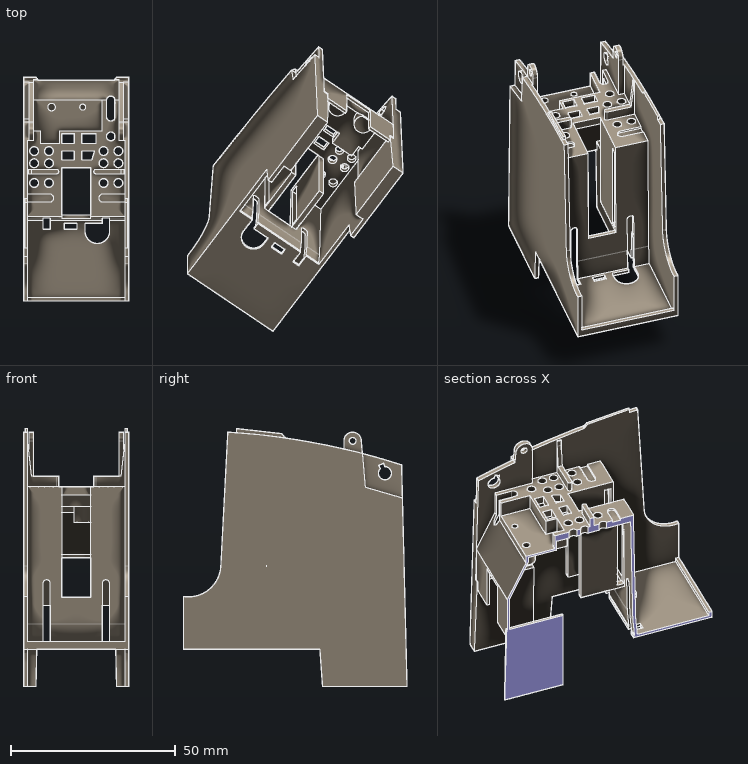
import cadquery as cq
import math

WIDTH = 32.0
DEPTH = 68.0
HEIGHT = 78.45
HALF_WIDTH = WIDTH / 2

WALL_THICKNESS = 1.25
WALL_INNER_X = HALF_WIDTH - WALL_THICKNESS
BASE_Z = 11.35
FOOT_FRONT_Y = 42.25
FOOT_ROOT_Y = 41.45
WALL_FRONT_TOP_Z = 27.45
FRONT_CURVE_RADIUS = 10.0
FRONT_CURVE_CENTER = (1.37, 37.2)
FRONT_CURVE_END = (11.35, 36.6)
TOP_FRONT = (13.47, 77.36)
TOP_MIDDLE = (36.0, 74.8)
TOP_BACK = (66.35, 67.4)

LIP_OUTER_X = 15.5
LIP_FRONT_Y = 16.15
LIP_BACK_Y = 29.9
LIP_BACK_Z = 76.9
LIP_ROOT = (31.1, 75.55)
LIP_OVERLAP = 1.0

PLATE_OUTER_X = 14.4
PLATE_INNER_X = 12.95
LUG_FRONT_Y = 48.75
LUG_BACK_Y = 54.1
LUG_RADIUS = (LUG_BACK_Y - LUG_FRONT_Y) / 2
LUG_TOP_Z = 77.35
LUG_CENTER = (LUG_FRONT_Y + LUG_RADIUS, LUG_TOP_Z - LUG_RADIUS)
LUG_HOLE_DIAMETER = 2.0
CUTAWAY_CORNER = (55.3, 60.6)
CUTAWAY_BACK_Z = 56.9
KEYHOLE_CENTER = (61.25, 64.85)
KEYHOLE_RADIUS = 1.95
KEYHOLE_SLOT_WIDTH = 1.5
KEYHOLE_SLOT_REACH = 2.9
KEYHOLE_SLOT_ANGLE = 113.0

FOOT_INNER_X_BOTTOM = 12.2
FOOT_INNER_X_TOP = 11.6
FOOT_BLOCK_TOP_Z = 28.0

FLOOR_TOP_Z = 12.5
RIM_DEPTH = 1.1
RIM_TOP_Z = 13.8

PANEL_TOP_Y = 25.7
PANEL_KNEE = (24.95, 19.05)
PANEL_FOOT_Y = 24.4
PANEL_THICKNESS = 1.1

DECK_Z = 60.8
DECK_THICKNESS = 2.6
DECK_BOTTOM_Z = DECK_Z - DECK_THICKNESS
DECK_BACK_Y = 61.0
SHELL = 0.9

TRAY_LEFT_X = -PLATE_INNER_X
TRAY_RIGHT_X = 7.85
TRAY_FRONT_Y = 51.6
TRAY_FLOOR_Z = 55.6
TRAY_BOTTOM_Z = TRAY_FLOOR_Z - SHELL
BAY_LEFT_X = -10.9
BAY_RIGHT_X = -5.1
BAY_FRONT_Y = 47.9
BAY_WALL = 0.7
TRAY_PITS = [(-7.5, 2.3), (1.95, 1.8)]
PIT_Y = 58.9
PIT_DEPTH = 3.0
PIT_BOSS_RADIUS = 2.7
PIT_BOSS_BOTTOM_Z = 49.9

APRON_BACK_Y = 67.1
APRON_SLOPE_TOP_Z = 52.9
APRON_SLOPE_BOTTOM_Z = 40.2
APRON_BOTTOM_Z = 39.1
BACK_PLATE_BOTTOM_Z = 24.6

WINDOW_HALF_WIDTH = 4.35
WINDOW_BACK_Y = 40.45
WINDOW_SILL_Z = 27.2
CHEEK_THICKNESS = 1.6
GROOVE_FRONT_Y = 26.4
GROOVE_BACK_Y = 28.5
GROOVE_BOTTOM_Z = 28.4

HOLE_DIAMETER = 2.6
HOLE_XS = (8.3, 12.8)
HOLE_YS = (35.85, 41.85, 45.55)
SIDE_HOLE = (10.5, 50.0)
SIDE_SLOT_Y = (54.7, 62.2)
LATCH_LEFT_X = (-4.35, -0.65)
LATCH_RIGHT_X = (1.7, 5.95)
LATCH_BACK_ROW_Y = (47.9, 50.8)
LATCH_FRONT_ROW_Y = (42.85, 45.5)
TAPERED_LATCH_X_BACK = 5.5
TAPERED_LATCH_X_FRONT = 4.7

DECK_GROOVE_INNER_X = 6.9
DECK_GROOVE_Y = (30.0, 32.55)
DECK_GROOVE_DEPTH = 0.65

DIVIDER_INNER_X = 5.3
DIVIDER_Y = (38.65, 40.0)
DIVIDER_TOP_Z = 64.0
GUSSET_FOOT_X = 13.6
GUSSET_EDGE_X = 14.45
GUSSET_BEND_Z = 71.5
GUSSET_TOP_Z = 73.5

PANEL_SLOT_X = 9.0
PANEL_SLOT_WIDTH = 2.1
PANEL_SLOT_TOP_Z = 32.5
FLOOR_SLOT_FRONT_Y = 21.8
FLOOR_WINDOW_X = (-3.6, 0.2)
FLOOR_WINDOW_BACK_Y = 23.6
CABLE_HOLE_CENTER = (6.4, 21.2)
CABLE_HOLE_RADIUS = 3.7


def box(x_range, y_range, z_range):
    """Axis-aligned box between the given limits."""
    size = [high - low for low, high in (x_range, y_range, z_range)]
    corner = (x_range[0], y_range[0], z_range[0])
    return cq.Workplane("XY").box(*size, centered=False).translate(corner)


def along_x(profile, x_range):
    """Extrude a closed YZ profile between two X positions."""
    return profile.extrude(x_range[1] - x_range[0]).translate((x_range[0], 0, 0))


def both_sides(shape):
    """The shape together with its mirror image across the middle plane."""
    return shape.union(shape.mirror("YZ"))


def yz():
    return cq.Workplane("YZ")


def bar_with_round_end(inner_x, y_range, z_range):
    """Bar from the right wall towards the middle, ending in a half round at inner_x."""
    radius = (y_range[1] - y_range[0]) / 2
    middle_y = (y_range[0] + y_range[1]) / 2
    bar = box((inner_x + radius, WALL_INNER_X), y_range, z_range)
    end = cq.Workplane("XY").center(inner_x + radius, middle_y).circle(radius)
    end = end.extrude(z_range[1] - z_range[0]).translate((0, 0, z_range[0]))
    return bar.union(end)


def wall_profile():
    """Outline of a side wall with its foot, front sweep and arched top."""
    center_y, center_z = FRONT_CURVE_CENTER
    diagonal = FRONT_CURVE_RADIUS * math.sqrt(0.5)
    curve_middle = (center_y + diagonal, center_z - diagonal)
    return (
        yz()
        .moveTo(DEPTH, 0)
        .lineTo(FOOT_FRONT_Y, 0)
        .lineTo(FOOT_ROOT_Y, BASE_Z)
        .lineTo(0, BASE_Z)
        .lineTo(0, WALL_FRONT_TOP_Z)
        .threePointArc(curve_middle, FRONT_CURVE_END)
        .lineTo(*TOP_FRONT)
        .threePointArc(TOP_MIDDLE, TOP_BACK)
        .close()
    )


def top_lip():
    profile = (
        yz()
        .moveTo(LIP_FRONT_Y, HEIGHT)
        .lineTo(LIP_BACK_Y, LIP_BACK_Z)
        .lineTo(*LIP_ROOT)
        .lineTo(LIP_ROOT[0], LIP_ROOT[1] - LIP_OVERLAP)
        .lineTo(LIP_FRONT_Y, TOP_FRONT[1] - LIP_OVERLAP)
        .close()
    )
    return along_x(profile, (WALL_INNER_X, LIP_OUTER_X))


def keyhole():
    """Round hole with a short slanted slot at its top."""
    center_y, center_z = KEYHOLE_CENTER
    hole = yz().center(center_y, center_z).circle(KEYHOLE_RADIUS)
    slot = yz().center(KEYHOLE_SLOT_REACH / 2, 0).rect(KEYHOLE_SLOT_REACH, KEYHOLE_SLOT_WIDTH)
    slot = slot.extrude(HALF_WIDTH)
    slot = slot.rotate((0, 0, 0), (1, 0, 0), KEYHOLE_SLOT_ANGLE).translate((0, center_y, center_z))
    return hole.extrude(HALF_WIDTH).union(slot)


def side_wall():
    """Right side wall with lip, inner plate, lug and thick foot."""
    wall = along_x(wall_profile(), (WALL_INNER_X, HALF_WIDTH))
    cutaway = (
        yz()
        .moveTo(DEPTH, CUTAWAY_BACK_Z)
        .lineTo(*CUTAWAY_CORNER)
        .lineTo(LUG_BACK_Y, LUG_CENTER[1])
        .lineTo(DEPTH, LUG_CENTER[1])
        .close()
    )
    cutaway = along_x(cutaway, (PLATE_OUTER_X, HALF_WIDTH))
    rear = box((PLATE_INNER_X, WALL_INNER_X), (LUG_FRONT_Y, DEPTH), (0, HEIGHT))
    plate = along_x(wall_profile(), (PLATE_INNER_X, WALL_INNER_X)).intersect(rear)
    wall = wall.union(plate).cut(cutaway).union(top_lip())

    lug = (
        yz()
        .moveTo(LUG_FRONT_Y, DECK_Z)
        .lineTo(LUG_FRONT_Y, LUG_CENTER[1])
        .threePointArc((LUG_CENTER[0], LUG_TOP_Z), (LUG_BACK_Y, LUG_CENTER[1]))
        .lineTo(*CUTAWAY_CORNER)
        .close()
    )
    lug = along_x(lug, (PLATE_INNER_X, PLATE_OUTER_X))
    lug_hole = yz().center(*LUG_CENTER).circle(LUG_HOLE_DIAMETER / 2).extrude(HALF_WIDTH)

    taper = (
        cq.Workplane("XZ")
        .moveTo(PLATE_OUTER_X, 0)
        .lineTo(FOOT_INNER_X_BOTTOM, 0)
        .lineTo(FOOT_INNER_X_TOP, FOOT_BLOCK_TOP_Z)
        .lineTo(PLATE_OUTER_X, FOOT_BLOCK_TOP_Z)
        .close()
        .extrude(-DEPTH)
    )
    rear_foot = box((0, HALF_WIDTH), (LUG_FRONT_Y, DEPTH), (0, FOOT_BLOCK_TOP_Z))
    foot = along_x(wall_profile(), (0, HALF_WIDTH)).intersect(rear_foot).intersect(taper)
    return wall.union(lug).union(foot).cut(lug_hole).cut(keyhole())


def floor():
    span = (-WALL_INNER_X, WALL_INNER_X)
    plate = box(span, (0, PANEL_TOP_Y), (BASE_Z, FLOOR_TOP_Z))
    return plate.union(box(span, (0, RIM_DEPTH), (BASE_Z, RIM_TOP_Z)))


def front_panel():
    profile = yz().polyline(
        [
            (PANEL_TOP_Y, DECK_Z),
            PANEL_KNEE,
            (PANEL_FOOT_Y, FLOOR_TOP_Z),
            (PANEL_FOOT_Y, BASE_Z),
            (PANEL_FOOT_Y + PANEL_THICKNESS, BASE_Z),
            (PANEL_FOOT_Y + PANEL_THICKNESS, FLOOR_TOP_Z),
            (PANEL_KNEE[0] + PANEL_THICKNESS, PANEL_KNEE[1]),
            (PANEL_TOP_Y + PANEL_THICKNESS, DECK_Z),
        ]
    ).close()
    return along_x(profile, (-WALL_INNER_X, WALL_INNER_X))


def tray_volume(wall, bottom_z):
    """Tray and its bay, grown sideways and forwards by a wall thickness."""
    z_range = (bottom_z, DECK_Z)
    tray = box((TRAY_LEFT_X, TRAY_RIGHT_X + wall), (TRAY_FRONT_Y - wall, DECK_BACK_Y), z_range)
    bay = box(
        (BAY_LEFT_X - wall, BAY_RIGHT_X + wall), (BAY_FRONT_Y - wall, TRAY_FRONT_Y), z_range
    )
    return tray.union(bay)


def deck():
    """Deck plate with its sunken tray and the blind pits in the tray floor."""
    plate = box(
        (-WALL_INNER_X, WALL_INNER_X), (PANEL_TOP_Y, LUG_BACK_Y), (DECK_BOTTOM_Z, DECK_Z)
    )
    plate = plate.union(
        box((-PLATE_INNER_X, PLATE_INNER_X), (LUG_BACK_Y, DECK_BACK_Y), (DECK_BOTTOM_Z, DECK_Z))
    )
    plate = plate.union(tray_volume(BAY_WALL, TRAY_BOTTOM_Z)).cut(tray_volume(0, TRAY_FLOOR_Z))
    in_front_of_apron = box((-HALF_WIDTH, HALF_WIDTH), (0, DECK_BACK_Y), (0, HEIGHT))
    for x, diameter in TRAY_PITS:
        at_pit = cq.Workplane("XY", origin=(x, PIT_Y, TRAY_FLOOR_Z))
        boss = at_pit.circle(PIT_BOSS_RADIUS).extrude(PIT_BOSS_BOTTOM_Z - TRAY_FLOOR_Z)
        boss = boss.intersect(in_front_of_apron)
        plate = plate.union(boss).cut(at_pit.circle(diameter / 2).extrude(-PIT_DEPTH))
    return plate


def rear_apron():
    """Sloping panel behind the tray, with a back plate on either side of the open middle."""
    front_y = DECK_BACK_Y - SHELL
    inner_back_y = APRON_BACK_Y - SHELL
    profile = yz().polyline(
        [
            (front_y, TRAY_FLOOR_Z),
            (front_y, APRON_SLOPE_TOP_Z),
            (inner_back_y, APRON_SLOPE_BOTTOM_Z),
            (inner_back_y, APRON_BOTTOM_Z),
            (APRON_BACK_Y, APRON_BOTTOM_Z),
            (APRON_BACK_Y, APRON_SLOPE_BOTTOM_Z),
            (DECK_BACK_Y, APRON_SLOPE_TOP_Z),
            (DECK_BACK_Y, TRAY_FLOOR_Z),
        ]
    ).close()
    apron = along_x(profile, (-PLATE_INNER_X, PLATE_INNER_X))
    strip = box(
        (TRAY_RIGHT_X, PLATE_INNER_X), (front_y, DECK_BACK_Y), (APRON_SLOPE_TOP_Z, DECK_Z)
    )
    back_plate = box(
        (WINDOW_HALF_WIDTH, PLATE_INNER_X),
        (inner_back_y, APRON_BACK_Y),
        (BACK_PLATE_BOTTOM_Z, APRON_SLOPE_BOTTOM_Z),
    )
    return apron.union(strip).union(both_sides(back_plate))


def window_cheek():
    return box(
        (WINDOW_HALF_WIDTH, WINDOW_HALF_WIDTH + CHEEK_THICKNESS),
        (PANEL_TOP_Y, WINDOW_BACK_Y),
        (WINDOW_SILL_Z, DECK_BOTTOM_Z),
    )


def cheek_groove():
    """Vertical slit through the cheek, biting slightly into the back of the front panel."""
    return box(
        (WINDOW_HALF_WIDTH, WINDOW_HALF_WIDTH + CHEEK_THICKNESS),
        (GROOVE_FRONT_Y, GROOVE_BACK_Y),
        (GROOVE_BOTTOM_Z, DECK_BOTTOM_Z),
    )


def divider():
    """Low divider on the deck with a gusset running up the side wall."""
    bar = bar_with_round_end(DIVIDER_INNER_X, DIVIDER_Y, (DECK_BOTTOM_Z, DIVIDER_TOP_Z))
    gusset = cq.Workplane("XZ", origin=(0, DIVIDER_Y[0], 0)).polyline(
        [
            (GUSSET_FOOT_X, DECK_Z),
            (GUSSET_FOOT_X, DIVIDER_TOP_Z),
            (GUSSET_EDGE_X, GUSSET_BEND_Z),
            (GUSSET_EDGE_X, GUSSET_TOP_Z),
            (WALL_INNER_X, GUSSET_TOP_Z),
            (WALL_INNER_X, DECK_Z),
        ]
    )
    return bar.union(gusset.close().extrude(DIVIDER_Y[0] - DIVIDER_Y[1]))


def deck_openings():
    """Everything that passes down through the deck, apart from the window."""
    full_height = (0, HEIGHT)
    centers = [(side * x, y) for side in (-1, 1) for x in HOLE_XS for y in HOLE_YS]
    centers.append(SIDE_HOLE)
    cuts = cq.Workplane("XY").pushPoints(centers).circle(HOLE_DIAMETER / 2).extrude(HEIGHT)
    slot_length = SIDE_SLOT_Y[1] - SIDE_SLOT_Y[0]
    slot = cq.Workplane("XY").center(SIDE_HOLE[0], sum(SIDE_SLOT_Y) / 2)
    cuts = cuts.union(slot.slot2D(slot_length, HOLE_DIAMETER, 90).extrude(HEIGHT))
    cuts = cuts.union(box(LATCH_LEFT_X, LATCH_BACK_ROW_Y, full_height))
    cuts = cuts.union(box(LATCH_RIGHT_X, LATCH_BACK_ROW_Y, full_height))
    cuts = cuts.union(box(LATCH_LEFT_X, LATCH_FRONT_ROW_Y, full_height))
    front_y, back_y = LATCH_FRONT_ROW_Y
    tapered = cq.Workplane("XY").polyline(
        [
            (LATCH_RIGHT_X[0], front_y),
            (TAPERED_LATCH_X_FRONT, front_y),
            (TAPERED_LATCH_X_BACK, back_y),
            (LATCH_RIGHT_X[0], back_y),
        ]
    )
    return cuts.union(tapered.close().extrude(HEIGHT))


def window():
    return box(
        (-WINDOW_HALF_WIDTH, WINDOW_HALF_WIDTH), (0, WINDOW_BACK_Y), (WINDOW_SILL_Z, HEIGHT)
    )


def deck_groove():
    return bar_with_round_end(DECK_GROOVE_INNER_X, DECK_GROOVE_Y, (DECK_Z - DECK_GROOVE_DEPTH, DECK_Z))


def panel_slot():
    """Round-topped slot through the right half of the front panel, running out into the floor."""
    radius = PANEL_SLOT_WIDTH / 2
    y_range = (FLOOR_SLOT_FRONT_Y, PANEL_TOP_Y + PANEL_THICKNESS)
    x_range = (PANEL_SLOT_X - radius, PANEL_SLOT_X + radius)
    slot = box(x_range, y_range, (0, PANEL_SLOT_TOP_Z - radius))
    end = cq.Workplane("XZ", origin=(PANEL_SLOT_X, y_range[0], PANEL_SLOT_TOP_Z - radius))
    return slot.union(end.circle(radius).extrude(y_range[0] - y_range[1]))


def floor_openings():
    below_floor = (0, FLOOR_TOP_Z)
    window_y = (FLOOR_SLOT_FRONT_Y, FLOOR_WINDOW_BACK_Y)
    cuts = box(FLOOR_WINDOW_X, window_y, below_floor)
    center_x, center_y = CABLE_HOLE_CENTER
    cable_x = (center_x - CABLE_HOLE_RADIUS, center_x + CABLE_HOLE_RADIUS)
    cable_hole = cq.Workplane("XY").center(center_x, center_y).circle(CABLE_HOLE_RADIUS)
    cable_hole = cable_hole.extrude(FLOOR_TOP_Z)
    cable_hole = cable_hole.union(box(cable_x, (center_y, FLOOR_WINDOW_BACK_Y), below_floor))
    in_front_of_panel = box(cable_x, (0, FLOOR_WINDOW_BACK_Y), below_floor)
    return cuts.union(cable_hole.intersect(in_front_of_panel))


block = front_panel().union(deck()).union(rear_apron())
block = block.cut(deck_openings()).cut(window()).cut(both_sides(deck_groove()))
block = block.union(both_sides(window_cheek())).cut(both_sides(cheek_groove()))
block = block.union(both_sides(divider()))
block = block.union(floor()).cut(both_sides(panel_slot())).cut(floor_openings())

result = block.union(both_sides(side_wall()))